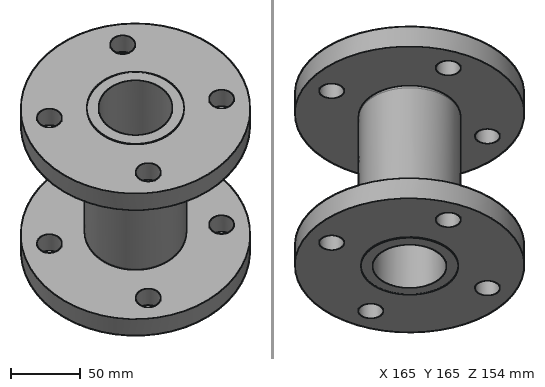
import cadquery as cq

flange_diameter = 165.0
overall_height = 154.0

flange_thickness = 17.8
face_diameter = 70.0
face_height = 0.8

body_diameter = 73.6
body_edge_radius = 3.5
bore_diameter = 53.1

bolt_count = 4
bolt_circle_diameter = 125.0
bolt_hole_diameter = 18.0
first_bolt_angle = 45.0

face_level = overall_height / 2
flange_outer_level = face_level - face_height
flange_inner_level = flange_outer_level - flange_thickness


def disc(diameter, bottom, top):
    """Solid cylinder around Z between two heights."""
    return cq.Workplane("XY").workplane(offset=bottom).circle(diameter / 2).extrude(top - bottom)


def make_flange():
    """Upper flange with its raised face and bolt holes."""
    plate = disc(flange_diameter, flange_inner_level, flange_outer_level)
    bolt_holes = (
        cq.Workplane("XY")
        .workplane(offset=flange_inner_level)
        .polarArray(bolt_circle_diameter / 2, first_bolt_angle, 360, bolt_count)
        .circle(bolt_hole_diameter / 2)
        .extrude(flange_thickness)
    )
    raised_face = disc(face_diameter, flange_outer_level, face_level)
    return plate.cut(bolt_holes).union(raised_face)


def make_body():
    """Cylindrical body with rounded end edges that meet the flanges."""
    body = disc(body_diameter, -flange_inner_level, flange_inner_level)
    return body.edges("%CIRCLE").fillet(body_edge_radius)


upper_flange = make_flange()
lower_flange = upper_flange.mirror("XY")
bore = disc(bore_diameter, -face_level, face_level)

result = make_body().union(upper_flange).union(lower_flange).cut(bore)